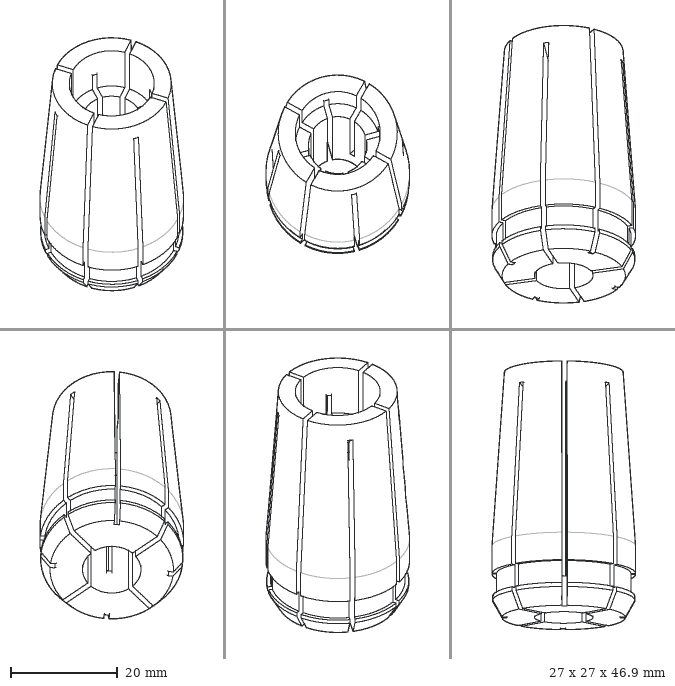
import cadquery as cq
import math

total_height = 46.85
nose_chamfer_top = 3.25
groove_bottom = 4.05
groove_top = 8.35
cone_bottom = 13.6

nose_radius = 11.55
rim_radius = 13.35
groove_radius = 12.65
body_radius = 13.5
taper_angle = 4.0
cone_top_radius = body_radius - (total_height - cone_bottom) * math.tan(math.radians(taper_angle))

bore_radius = 5.5
wide_bore_radius = 7.95
bore_step_height = 36.55

slot_width = 1.0
slots_per_end = 4
slot_spacing = 360 / slots_per_end
cutter_radius = 14.05
lower_slot_axis_radius = 18.35
lower_slot_stop = 31.15
upper_slot_axis_radius = 18.75
upper_slot_stop = 11.5
cutter_overrun = 2 * cutter_radius


def turned_body():
    """Tapered sleeve with a groove, a chamfered nose and a stepped bore."""
    profile = [
        (bore_radius, 0),
        (nose_radius, 0),
        (rim_radius, nose_chamfer_top),
        (rim_radius, groove_bottom),
        (groove_radius, groove_bottom),
        (groove_radius, groove_top),
        (body_radius, groove_top),
        (body_radius, cone_bottom),
        (cone_top_radius, total_height),
        (wide_bore_radius, total_height),
        (wide_bore_radius, bore_step_height),
        (bore_radius, bore_step_height),
    ]
    return cq.Workplane("XZ").polyline(profile).close().revolve(360, (0, 0), (0, 1))


def saw_slot(angle, axis_radius, stop_height, start_height):
    """Volume swept by the cutter moving along Z, at an angle about the Z axis."""
    travel = abs(stop_height - start_height)
    sweep = (
        cq.Workplane("XZ")
        .center(axis_radius, (stop_height + start_height) / 2)
        .slot2D(travel + 2 * cutter_radius, 2 * cutter_radius, 90)
        .extrude(slot_width / 2, both=True)
    )
    return sweep.rotate((0, 0, 0), (0, 0, 1), angle)


result = turned_body()
for index in range(slots_per_end):
    lower_angle = index * slot_spacing
    lower_slot = saw_slot(lower_angle, lower_slot_axis_radius, lower_slot_stop, -cutter_overrun)
    result = result.cut(lower_slot)
    upper_angle = lower_angle + slot_spacing / 2
    upper_slot = saw_slot(upper_angle, upper_slot_axis_radius, upper_slot_stop, total_height + cutter_overrun)
    result = result.cut(upper_slot)